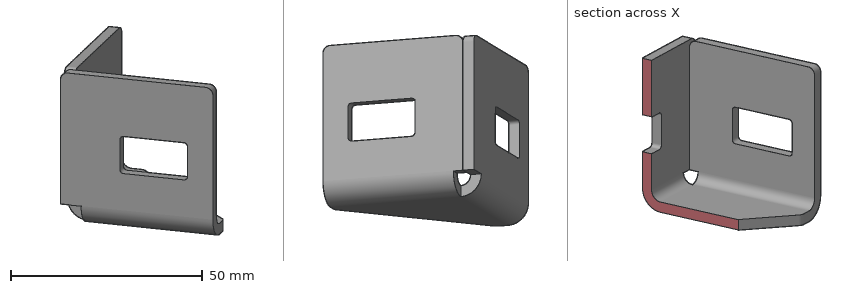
import cadquery as cq
import math

size = 42.0
thickness = 3.0
inner_bend = 2.7
bend = inner_bend + thickness

wall_corner = 2.0
seam_gap = 0.1

slot_length = 18.6
slot_height = 10.2
slot_corner = 1.0
slot_offset = 20.0
slot_center = bend + slot_offset
slot_center_z = size / 2

base_end = 9.0
base_corner = 2.0


def slot_cutter():
    """Rounded bar along Y that cuts the slot through the XZ wall."""
    return (
        cq.Workplane("XY")
        .box(slot_length, 2 * thickness, slot_height)
        .edges("|Y")
        .fillet(slot_corner)
        .translate((slot_center, thickness / 2, slot_center_z))
    )


def wall(start):
    """Slotted wall on the XZ plane from x = start to the far side, above the bend."""
    return (
        cq.Workplane("XY")
        .box(size - start, thickness, size - bend, centered=False)
        .translate((start, 0, bend))
        .edges("|Y and >Z")
        .fillet(wall_corner)
        .cut(slot_cutter())
    )


def bend_strip():
    """Quarter-ring bend joining the XZ wall to the base."""
    outer_mid = bend - bend * math.sqrt(0.5)
    inner_mid = bend - inner_bend * math.sqrt(0.5)
    return (
        cq.Workplane("YZ", origin=(bend, 0, 0))
        .moveTo(0, bend)
        .threePointArc((outer_mid, outer_mid), (bend, 0))
        .lineTo(bend, thickness)
        .threePointArc((inner_mid, inner_mid), (thickness, bend))
        .close()
        .extrude(size - bend)
    )


def swap_xy(body):
    """Mirror a body across the vertical plane x = y."""
    return body.mirror("YZ").rotate((0, 0, 0), (0, 0, 1), -90)


def base_plate():
    """Base with a sloping edge, lying beyond the two bends."""
    tips = ((size, base_end), (base_end, size))
    plate = (
        cq.Workplane("XY")
        .polyline([(bend, bend), (size, bend), *tips, (bend, size)])
        .close()
        .extrude(thickness)
    )
    for x, y in tips:
        tip_edge = cq.selectors.NearestToPointSelector((x, y, thickness / 2))
        plate = plate.edges("|Z").edges(tip_edge).fillet(base_corner)
    return plate


front_wall = wall(0)
side_wall = swap_xy(wall(thickness + seam_gap))

result = (
    base_plate()
    .union(bend_strip())
    .union(front_wall)
    .union(swap_xy(bend_strip()))
    .union(side_wall)
)